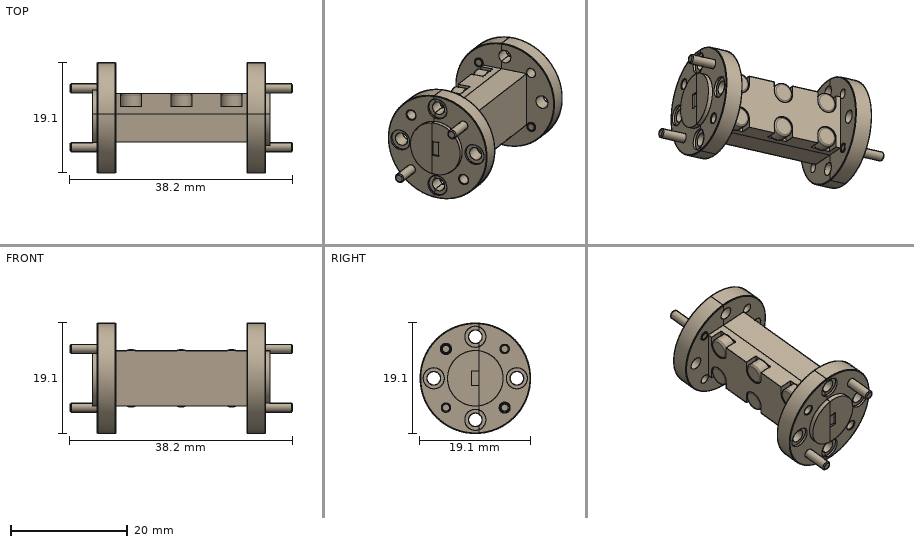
import cadquery as cq
import math

overall_length = 38.23
flange_diameter = 19.05

flange_outer_x = 14.5
flange_thickness = 3.2
flange_edge_chamfer = 0.1
boss_diameter = 9.55
boss_height = 0.8
flange_inner_x = flange_outer_x - flange_thickness
boss_face_x = flange_outer_x + boss_height

block_width = 8.4
block_height = 9.55
block_back_y = block_width / 2

port_width = 1.25
port_height = 2.55
port_depth = 0.3
parting_y = port_width / 2

pitch_radius = 7.15
bolt_hole_diameter = 2.3
counterbore_diameter = 3.65
counterbore_depth = 0.42
dowel_hole_diameter = 1.7
dowel_hole_chamfer = 0.1

pin_diameter = 1.6
pin_chamfer = 0.2
pin_length = overall_length / 2 - flange_inner_x

head_diameter = 3.55
head_fillet = 0.3
head_center_z = 3.17
head_pitch = 8.65
slot_width = 3.65
slot_depth = 2.25

ENDS = (-1, 1)


def x_cylinder(diameter, x_start, x_end, y=0.0, z=0.0):
    """Cylinder along X between two X positions."""
    plane = cq.Workplane("YZ", origin=(x_start, y, z))
    return plane.circle(diameter / 2).extrude(x_end - x_start)


def on_pitch_circle(angle):
    """Y and Z of a point on the flange pitch circle."""
    turn = math.radians(angle)
    return pitch_radius * math.cos(turn), pitch_radius * math.sin(turn)


def pin_angles(end):
    """Angles of the two pins of one flange; the two ends use opposite diagonals."""
    return (45, 225) if end > 0 else (135, 315)


def hole_angles(end):
    """Angles of the two open dowel holes, which face the pins of a mating flange."""
    return pin_angles(-end)


def dowel_hole(end, y, z):
    """Volume of an open dowel hole, chamfered where it meets the outer flange face."""
    outer_x = end * flange_outer_x
    hole = x_cylinder(dowel_hole_diameter, end * flange_inner_x, outer_x, y, z)
    mouth_radius = dowel_hole_diameter / 2 + dowel_hole_chamfer
    mouth = cq.Solid.makeCone(
        mouth_radius,
        dowel_hole_diameter / 2,
        dowel_hole_chamfer,
        pnt=cq.Vector(outer_x, y, z),
        dir=cq.Vector(-end, 0, 0),
    )
    return hole.union(mouth)


def flange(end):
    """Round flange with its boss, bolt holes, dowel holes and pin holes."""
    inner_x = end * flange_inner_x
    outer_x = end * flange_outer_x
    body = x_cylinder(flange_diameter, inner_x, outer_x).edges().chamfer(flange_edge_chamfer)
    body = body.union(x_cylinder(boss_diameter, inner_x, end * boss_face_x))
    for angle in (0, 90, 180, 270):
        y, z = on_pitch_circle(angle)
        body = body.cut(x_cylinder(bolt_hole_diameter, inner_x, outer_x, y, z))
        counterbore_x = outer_x - end * counterbore_depth
        body = body.cut(x_cylinder(counterbore_diameter, counterbore_x, outer_x, y, z))
    for angle in hole_angles(end):
        y, z = on_pitch_circle(angle)
        body = body.cut(dowel_hole(end, y, z))
    for angle in pin_angles(end):
        y, z = on_pitch_circle(angle)
        body = body.cut(x_cylinder(pin_diameter, inner_x, outer_x, y, z))
    return body


def waveguide_port(end):
    """Volume of the rectangular recess in one boss face."""
    center_x = end * (boss_face_x - port_depth / 2)
    return cq.Workplane("XY").box(port_depth, port_width, port_height).translate((center_x, 0, 0))


def head_slot(x, side):
    """Round-bottomed slot for a screw head, open to the back and to one long side."""
    plane = cq.Workplane("XZ", origin=(x, block_back_y, side * head_center_z))
    round_end = plane.circle(slot_width / 2).extrude(slot_depth)
    open_height = block_height / 2
    mouth = plane.center(0, side * open_height / 2).rect(slot_width, open_height).extrude(slot_depth)
    return round_end.union(mouth)


def screw_head(x, side):
    """Cap screw head standing on the slot floor, flush with the back of the block."""
    plane = cq.Workplane("XZ", origin=(x, block_back_y, side * head_center_z))
    head = plane.circle(head_diameter / 2).extrude(slot_depth)
    return head.faces(">Y").edges().fillet(head_fillet)


def whole_housing():
    """Block, flanges and ports before the housing is parted."""
    body = cq.Workplane("XY").box(2 * flange_inner_x, block_width, block_height)
    for end in ENDS:
        body = body.union(flange(end)).cut(waveguide_port(end))
    return body


def housing_half(side):
    """Part of the housing on one side of the parting plane: -1 front, 1 back."""
    size = 2 * overall_length
    keep_center_y = parting_y + side * size / 2
    keep = cq.Workplane("XY").box(size, size, size).translate((0, keep_center_y, 0))
    return whole_housing().intersect(keep)


def back_half_with_screws():
    """Back half of the housing, with the screw heads as part of it."""
    body = housing_half(1)
    for x in (-head_pitch, 0, head_pitch):
        for side in (-1, 1):
            body = body.cut(head_slot(x, side)).union(screw_head(x, side))
    return body


def dowel_pin(end, angle):
    """Chamfered pin, flush with the inner flange face."""
    y, z = on_pitch_circle(angle)
    start_x = end * flange_inner_x
    pin = x_cylinder(pin_diameter, start_x, start_x + end * pin_length, y, z)
    return pin.edges().chamfer(pin_chamfer)


front_half = housing_half(-1)
back_half = back_half_with_screws()
pins = [dowel_pin(end, angle) for end in ENDS for angle in pin_angles(end)]

result = cq.Compound.makeCompound([
    *front_half.solids().vals(),
    *back_half.solids().vals(),
    *[pin.solids().val() for pin in pins],
])